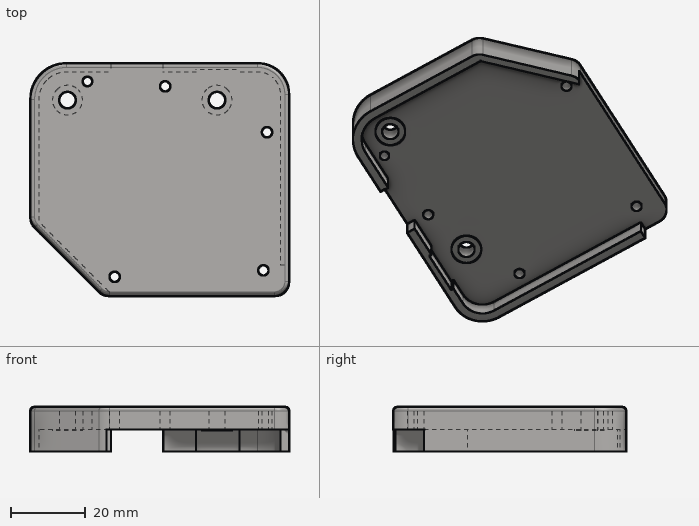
import cadquery as cq
import math

length = 69.3
width = 62.4
height = 12.0
plate_thickness = 6.1
wall_height = height - plate_thickness
wall = 2.35
diagonal_wall = 1.95

diagonal_cut = 19.55
back_left_radius = 9.7
back_right_radius = 8.45
front_radius = 3.95
top_edge_radius = 1.2

diagonal_end_x = 20.25
diagonal_end_slope = 0.5
back_opening_start = 21.6
back_opening_end = 35.55
right_wall_front = 8.3

shaft_diameter = 4.4
shaft_y = 52.5
shaft_x = (10.0, 50.0)
ring_diameter = 8.0
ring_height = 0.3
relief_width = 11.6
relief_depth = 0.7
relief_x = 50.2

small_screw_diameter = 2.5
small_screw_points = [(15.3, 57.5)]
screw_diameter = 2.7
screw_points = [(36.1, 56.15), (63.35, 43.9), (62.4, 6.9), (22.6, 5.2)]


def box(x_start, x_end, y_start, y_end, z_height):
    """Box standing on the bottom plane between the given limits."""
    return cq.Workplane("XY").box(
        x_end - x_start, y_end - y_start, z_height, centered=False
    ).translate((x_start, y_start, 0))


def rounded_body():
    """Solid outline with a diagonal front-left corner and rounded edges."""
    corners = [(0, diagonal_cut), (diagonal_cut, 0), (length, 0), (length, width), (0, width)]
    body = cq.Workplane("XY").polyline(corners).close().extrude(height)
    body = body.edges("|Z and >X and >Y").fillet(back_right_radius)
    body = body.edges("|Z and <X and >Y").fillet(back_left_radius)
    margin = 0.7
    front_half = cq.selectors.BoxSelector(
        (-margin, -margin, -margin), (length + margin, width / 2, height + margin)
    )
    body = body.edges("|Z").edges(front_half).fillet(front_radius)
    return body.faces(">Z").edges().fillet(top_edge_radius)


def cavity():
    """Space under the plate, bounded by the left, diagonal, back and right walls."""
    inner_intercept = diagonal_cut + diagonal_wall * math.sqrt(2)
    inner_right = length - wall
    inner_back = width - wall
    corners = [
        (wall, inner_intercept - wall),
        (inner_intercept, 0),
        (inner_right, 0),
        (inner_right, inner_back),
        (wall, inner_back),
    ]
    space = cq.Workplane("XY").polyline(corners).close().extrude(wall_height)
    space = space.edges("|Z and >X and >Y").fillet(back_right_radius - wall)
    return space.edges("|Z and <X and >Y").fillet(back_left_radius - wall)


def front_opening():
    """Space beyond the slanted end of the diagonal wall, open to the front."""
    side = right_wall_front
    corners = [
        (diagonal_end_x, 0),
        (diagonal_end_x + side / diagonal_end_slope, side),
        (length, side),
        (length, 0),
    ]
    return cq.Workplane("XY").polyline(corners).close().extrude(wall_height)


def through_holes(points, diameter):
    """Round holes through the full height."""
    return cq.Workplane("XY").pushPoints(points).circle(diameter / 2).extrude(height)


shaft_points = [(x, shaft_y) for x in shaft_x]
rings = (
    cq.Workplane("XY", origin=(0, 0, wall_height - ring_height))
    .pushPoints(shaft_points)
    .circle(ring_diameter / 2)
    .extrude(2 * ring_height)
)
back_opening = box(back_opening_start, back_opening_end, width - wall, width, wall_height)
relief = box(
    relief_x - relief_width / 2,
    relief_x + relief_width / 2,
    width - wall,
    width - wall + relief_depth,
    wall_height,
)

result = (
    rounded_body()
    .cut(cavity())
    .cut(front_opening())
    .cut(back_opening)
    .cut(relief)
    .union(rings)
    .cut(through_holes(shaft_points, shaft_diameter))
    .cut(through_holes(small_screw_points, small_screw_diameter))
    .cut(through_holes(screw_points, screw_diameter))
)